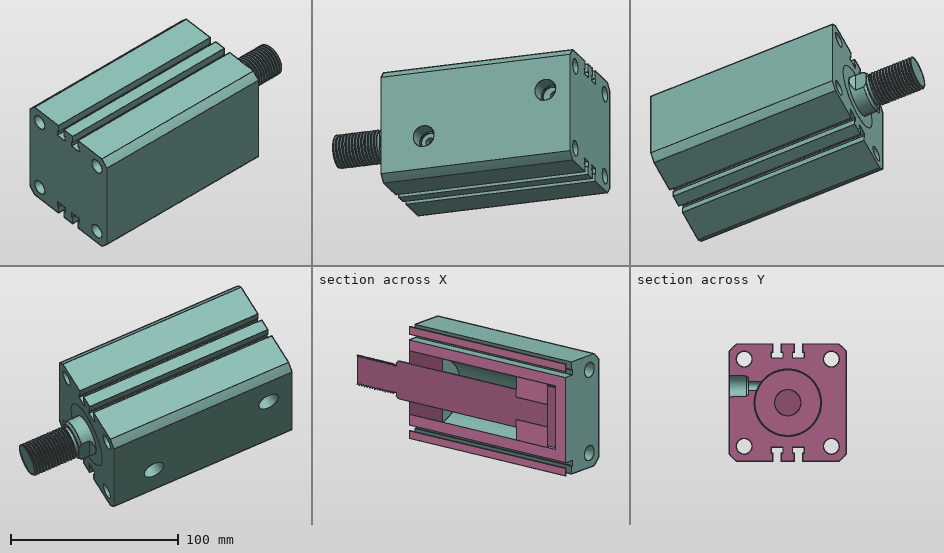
import cadquery as cq
import math


HOUSING_SIDE = 70.0
HOUSING_LENGTH = 120.0
CORNER_CUT = 4.5
BORE_RADIUS = 20.0
BORE_FLOOR = 8.0
CORNER_HOLE_SPACING = 52.0
CORNER_HOLE_DIAMETER = 9.3

SLOT_OFFSET = 6.4
SLOT_MOUTH_WIDTH = 5.0
SLOT_LIP_DEPTH = 5.0
SLOT_BASE_WIDTH = 6.9
SLOT_DEPTH = 8.3

PORT_MOUTH_RADIUS = 6.5
PORT_END_RADIUS = 6.2
PORT_DEPTH = 10.4
PORT_RECESS_RADIUS = 5.5
PORT_RECESS_DEPTH = 11.5
PASSAGE_RADIUS = 2.5
PORT_HEIGHT = 10.0
REAR_PORT_Y = 15.8
REAR_PASSAGE_Y = 14.0
FRONT_PORT_Y = HOUSING_LENGTH - 27.0

ROD_RADIUS = 12.5
ROD_END = 160.0
COLLAR_END = 130.0
COLLAR_CHAMFER = 1.6
COLLAR_TAPER_LENGTH = 0.8
COLLAR_TAPER_DROP = 0.2
NECK_RADIUS = 9.1
THREAD_RADIUS = 10.0
THREAD_START = 132.0
THREAD_PITCHES = 14
THREAD_ROOT_RADIUS = 9.3
RIDGE_BASE_WIDTH = 1.8
RIDGE_CREST_WIDTH = 0.2
RIDGE_OVERLAP = 0.2
FLATS_WIDTH = 19.0
FLATS_START = 123.2

GLAND_START = 94.2
PISTON_START = 14.0
PISTON_LENGTH = 24.0
PISTON_FRONT = PISTON_START + PISTON_LENGTH
PISTON_CHAMFER = 0.5
BUMPER_RADIUS = 19.2
SPIGOT_RADIUS = 8.0


def cylinder(radius, start, end):
    """Solid cylinder on the Y axis from Y = start to Y = end."""
    return cq.Workplane("XZ", origin=(0, start, 0)).circle(radius).extrude(start - end)


def slot_cutter(x, side):
    """T-slot along the whole housing, open to the top (side = 1) or bottom (side = -1)."""
    mouth_half = SLOT_MOUTH_WIDTH / 2
    base_half = SLOT_BASE_WIDTH / 2
    surface = side * HOUSING_SIDE / 2
    lip = side * (HOUSING_SIDE / 2 - SLOT_LIP_DEPTH)
    floor = side * (HOUSING_SIDE / 2 - SLOT_DEPTH)
    return (
        cq.Workplane("XZ")
        .polyline([
            (x - mouth_half, surface),
            (x - mouth_half, lip),
            (x - base_half, lip),
            (x - base_half, floor),
            (x + base_half, floor),
            (x + base_half, lip),
            (x + mouth_half, lip),
            (x + mouth_half, surface),
        ])
        .close()
        .extrude(-HOUSING_LENGTH)
    )


def port_cutter(y, z, passage_y):
    """Tapered port, stepped recess and a narrow passage that opens into the bore."""
    face_x = -HOUSING_SIDE / 2
    radius_and_depth = [
        (0, 0),
        (PORT_MOUTH_RADIUS, 0),
        (PORT_END_RADIUS, PORT_DEPTH),
        (PORT_RECESS_RADIUS, PORT_DEPTH),
        (PORT_RECESS_RADIUS, PORT_RECESS_DEPTH),
        (0, PORT_RECESS_DEPTH),
    ]
    face_plane = cq.Plane(origin=(face_x, y, z), xDir=(0, 1, 0), normal=(0, 0, -1))
    port = (
        cq.Workplane(face_plane)
        .polyline(radius_and_depth)
        .close()
        .revolve(360, (0, 0, 0), (0, 1, 0))
    )
    passage_start = cq.Workplane("YZ", origin=(face_x, passage_y, z))
    passage = passage_start.circle(PASSAGE_RADIUS).extrude(-face_x)
    return port.union(passage)


def make_housing():
    """Square barrel with a closed rear end, corner holes, T-slots and two oil ports."""
    half = HOUSING_SIDE / 2
    block = cq.Workplane("XZ").rect(HOUSING_SIDE, HOUSING_SIDE).extrude(-HOUSING_LENGTH)
    corner_radius = math.hypot(half, half - CORNER_CUT)
    housing = block.intersect(cylinder(corner_radius, 0, HOUSING_LENGTH))
    housing = housing.cut(cylinder(BORE_RADIUS, BORE_FLOOR, HOUSING_LENGTH))
    corner_holes = (
        cq.Workplane("XZ")
        .rect(CORNER_HOLE_SPACING, CORNER_HOLE_SPACING, forConstruction=True)
        .vertices()
        .circle(CORNER_HOLE_DIAMETER / 2)
        .extrude(-HOUSING_LENGTH)
    )
    housing = housing.cut(corner_holes)
    for side in (-1, 1):
        for x in (-SLOT_OFFSET, SLOT_OFFSET):
            housing = housing.cut(slot_cutter(x, side))
    housing = housing.cut(port_cutter(FRONT_PORT_Y, -PORT_HEIGHT, FRONT_PORT_Y))
    housing = housing.cut(port_cutter(REAR_PORT_Y, PORT_HEIGHT, REAR_PASSAGE_Y))
    return housing


def thread_ridge():
    """Helical ridge with sloped flanks, sunk a little into the thread core and cut square at both ends."""
    sunk_radius = THREAD_ROOT_RADIUS - RIDGE_OVERLAP
    half_base = RIDGE_BASE_WIDTH / 2
    half_crest = RIDGE_CREST_WIDTH / 2
    length = ROD_END - THREAD_START
    pitch = length / THREAD_PITCHES
    helix = cq.Workplane(cq.Wire.makeHelix(pitch, length + 2 * pitch, sunk_radius))
    ridge = (
        cq.Workplane("XZ")
        .polyline([
            (sunk_radius, -half_base),
            (THREAD_RADIUS, -half_crest),
            (THREAD_RADIUS, half_crest),
            (sunk_radius, half_base),
        ])
        .close()
        .sweep(helix, isFrenet=True)
    )
    ridge = ridge.rotate((0, 0, 0), (1, 0, 0), -90).translate((0, THREAD_START - pitch, 0))
    thread_span = cq.Workplane("XY", origin=(0, THREAD_START, 0)).box(
        4 * THREAD_RADIUS, length, 4 * THREAD_RADIUS, centered=(True, False, True)
    )
    return ridge.intersect(thread_span)


def flat_cutter(side):
    """Wrench flat on one side of the collar, with a 45 degree run-out."""
    inner = side * FLATS_WIDTH / 2
    runout = ROD_RADIUS - FLATS_WIDTH / 2
    outer = side * ROD_RADIUS
    return (
        cq.Workplane("XY", origin=(0, 0, -ROD_RADIUS))
        .polyline([
            (inner, FLATS_START),
            (inner, COLLAR_END),
            (outer, COLLAR_END),
            (outer, FLATS_START - runout),
        ])
        .close()
        .extrude(2 * ROD_RADIUS)
    )


def make_rod():
    """Piston rod: spigot in the piston, plain shaft, collar with two flats, neck and thread."""
    taper_start = COLLAR_END - COLLAR_CHAMFER - COLLAR_TAPER_LENGTH
    profile = [
        (0, PISTON_START),
        (SPIGOT_RADIUS, PISTON_START),
        (SPIGOT_RADIUS, PISTON_FRONT),
        (ROD_RADIUS, PISTON_FRONT),
        (ROD_RADIUS, taper_start),
        (ROD_RADIUS - COLLAR_TAPER_DROP, COLLAR_END - COLLAR_CHAMFER),
        (ROD_RADIUS - COLLAR_CHAMFER, COLLAR_END),
        (NECK_RADIUS, COLLAR_END),
        (NECK_RADIUS, THREAD_START),
        (THREAD_ROOT_RADIUS, THREAD_START),
        (THREAD_ROOT_RADIUS, ROD_END),
        (0, ROD_END),
    ]
    rod = cq.Workplane("XY").polyline(profile).close().revolve(360, (0, 0, 0), (0, 1, 0))
    rod = rod.union(thread_ridge())
    for side in (-1, 1):
        rod = rod.cut(flat_cutter(side))
    return rod


def make_gland():
    """Sleeve that guides the rod and closes the open end of the bore."""
    return cylinder(BORE_RADIUS, GLAND_START, HOUSING_LENGTH).cut(cylinder(ROD_RADIUS, 0, ROD_END))


def make_piston():
    """Disc that fills the bore, chamfered at its rear rim and seated on the rod spigot."""
    disc = cylinder(BORE_RADIUS, PISTON_START, PISTON_FRONT).faces("<Y").chamfer(PISTON_CHAMFER)
    return disc.cut(cylinder(SPIGOT_RADIUS, 0, ROD_END))


def make_bumper():
    """Plain disc between the bore floor and the piston."""
    return cylinder(BUMPER_RADIUS, BORE_FLOOR, PISTON_START)


housing = make_housing()
rod = make_rod()
gland = make_gland()
piston = make_piston()
bumper = make_bumper()
result = cq.Compound.makeCompound([
    housing.val(),
    rod.val(),
    gland.val(),
    piston.val(),
    bumper.val(),
])